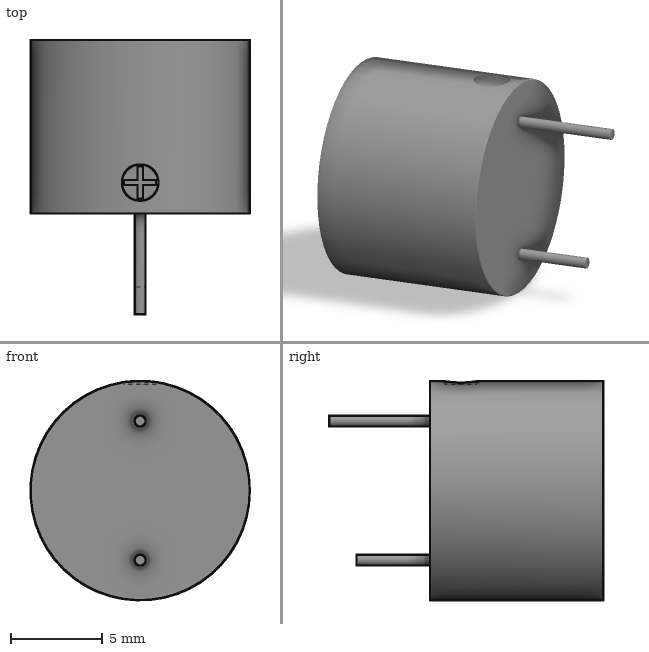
import cadquery as cq

housing_diameter = 12.0
total_length = 15.0
long_pin_length = 5.5
short_pin_length = 4.0
edge_fillet = 0.05

pin_diameter = 0.6
pin_pitch = 7.6

recess_diameter = 2.0
recess_depth = 0.1
mark_distance = 1.7
cross_span = 1.74
cross_arm_width = 0.28
cross_thickness = 0.1

housing_length = total_length - long_pin_length
recess_floor_z = housing_diameter / 2 - recess_depth


def make_cross():
    """Plus sign let into the recess floor, its top flush with the floor."""
    floor = cq.Workplane("XY", origin=(0, mark_distance, recess_floor_z))
    arm_along_x = floor.rect(cross_span, cross_arm_width).extrude(-cross_thickness)
    arm_along_y = floor.rect(cross_arm_width, cross_span).extrude(-cross_thickness)
    return arm_along_x.union(arm_along_y)


def make_pin(z, length):
    """Round pin along Y that butts against the pin face of the housing."""
    return cq.Workplane("XZ", origin=(0, 0, z)).circle(pin_diameter / 2).extrude(length)


def make_housing(inlay):
    """Cylinder along Y with rounded end edges, a round recess on top and a seat for the inlay."""
    cylinder = (
        cq.Workplane("XZ")
        .circle(housing_diameter / 2)
        .extrude(-housing_length)
        .faces("<Y or >Y")
        .fillet(edge_fillet)
    )
    recess = (
        cq.Workplane("XY", origin=(0, mark_distance, recess_floor_z))
        .circle(recess_diameter / 2)
        .extrude(2 * recess_depth)
    )
    return cylinder.cut(recess).cut(inlay)


pin_layout = [(pin_pitch / 2, long_pin_length), (-pin_pitch / 2, short_pin_length)]
pins = [make_pin(z, length) for z, length in pin_layout]
cross = make_cross()
housing = make_housing(cross)

result = cq.Compound.makeCompound([housing.val(), cross.val(), *[pin.val() for pin in pins]])